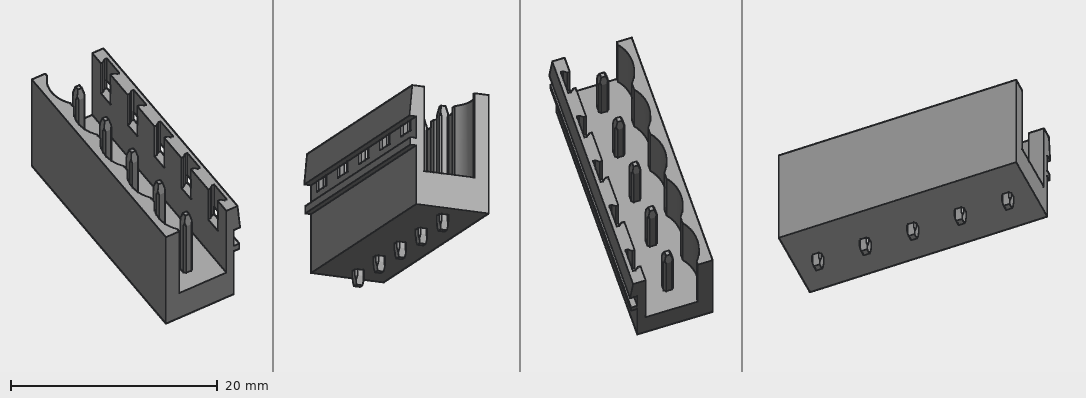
import cadquery as cq

pole_count = 5
pole_pitch = 5.0
housing_length = pole_count * pole_pitch
pole_positions = [(i + 0.5) * pole_pitch for i in range(pole_count)]

housing_depth = 7.7
housing_height = 12.0
floor_height = 3.45
front_wall = 1.52
back_wall_inner_y = 6.85

latch_top_y = 8.12
latch_y = 8.42
latch_bottom_z = 8.88

rib_y = 8.32
rib_bottom_z = 5.95
rib_top_z = 6.7

scallop_width = 4.32
scallop_depth = 0.78

slot_mouth_width = 1.8
slot_width = 2.35
slot_neck_depth = 0.25
slot_flare_depth = 0.35
slot_bottom_z = 7.85

pin_y = 3.8
pin_width = 1.0
pin_chamfer = 0.2
pin_bottom_z = -1.5
pin_top_z = 11.08
lower_taper_z = -0.6
upper_taper_z = 9.88
lower_tip_width = 0.62
upper_tip_width = 0.45


def make_trough():
    """U-shaped housing section with the latch lip and rib, extruded along X."""
    return (
        cq.Workplane("YZ")
        .moveTo(0, 0)
        .lineTo(housing_depth, 0)
        .lineTo(housing_depth, rib_bottom_z)
        .lineTo(rib_y, rib_bottom_z)
        .lineTo(rib_y, rib_top_z)
        .lineTo(housing_depth, rib_top_z)
        .lineTo(housing_depth, latch_bottom_z)
        .lineTo(latch_y, latch_bottom_z)
        .lineTo(latch_top_y, housing_height)
        .lineTo(back_wall_inner_y, housing_height)
        .lineTo(back_wall_inner_y, floor_height)
        .lineTo(front_wall, floor_height)
        .lineTo(front_wall, housing_height)
        .lineTo(0, housing_height)
        .close()
        .extrude(housing_length)
    )


def make_scallop(x):
    """Circular-segment cutter for the front wall, from the floor to the top."""
    half_width = scallop_width / 2
    return (
        cq.Workplane("XY", origin=(x, front_wall, floor_height))
        .moveTo(-half_width, 0)
        .threePointArc((0, -scallop_depth), (half_width, 0))
        .close()
        .extrude(housing_height - floor_height)
    )


def make_coding_slot(x):
    """Dovetail cutter reaching the back face plane, so a window opens below the latch lip."""
    half_mouth = slot_mouth_width / 2
    half_width = slot_width / 2
    flare_end = slot_neck_depth + slot_flare_depth
    slot_depth = housing_depth - back_wall_inner_y
    return (
        cq.Workplane("XY", origin=(x, back_wall_inner_y, slot_bottom_z))
        .moveTo(-half_mouth, 0)
        .lineTo(-half_mouth, slot_neck_depth)
        .lineTo(-half_width, flare_end)
        .lineTo(-half_width, slot_depth)
        .lineTo(half_width, slot_depth)
        .lineTo(half_width, flare_end)
        .lineTo(half_mouth, slot_neck_depth)
        .lineTo(half_mouth, 0)
        .close()
        .extrude(housing_height - slot_bottom_z)
    )


def make_taper(x, start_z, end_z, tip_width):
    """Square frustum from the full pin width to the tip."""
    return (
        cq.Workplane("XY", origin=(x, pin_y, start_z))
        .rect(pin_width, pin_width)
        .workplane(offset=end_z - start_z)
        .rect(tip_width, tip_width)
        .loft()
    )


def make_pin(x):
    """Contact pin: tapered square bar trimmed by a bar with chamfered corners."""
    core = (
        cq.Workplane("XY", origin=(x, pin_y, lower_taper_z))
        .rect(pin_width, pin_width)
        .extrude(upper_taper_z - lower_taper_z)
        .union(make_taper(x, upper_taper_z, pin_top_z, upper_tip_width))
        .union(make_taper(x, lower_taper_z, pin_bottom_z, lower_tip_width))
    )
    chamfered_bar = (
        cq.Workplane("XY", origin=(x, pin_y, pin_bottom_z))
        .rect(pin_width, pin_width)
        .extrude(pin_top_z - pin_bottom_z)
        .edges("|Z")
        .chamfer(pin_chamfer)
    )
    return core.intersect(chamfered_bar)


def make_housing(pins):
    """Trough with scallops, coding slots and a matching hole for every pin."""
    housing = make_trough()
    for x in pole_positions:
        housing = housing.cut(make_scallop(x)).cut(make_coding_slot(x))
    for pin in pins:
        housing = housing.cut(pin)
    return housing


pins = [make_pin(x) for x in pole_positions]
housing = make_housing(pins)

result = cq.Compound.makeCompound([housing.val(), *[pin.val() for pin in pins]])